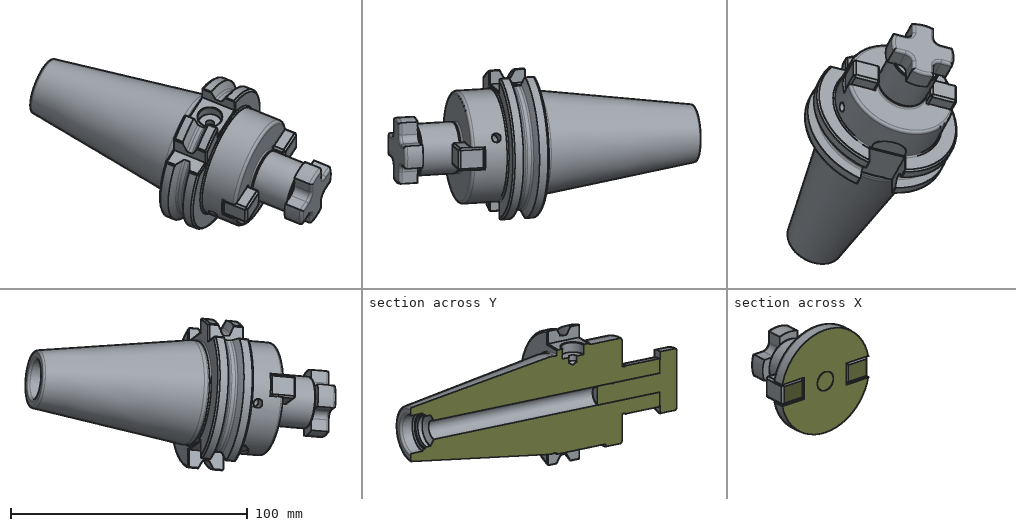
import cadquery as cq
import math


gauge_x = 68.5
gauge_diameter = 44.5
gauge_radius = gauge_diameter / 2
taper_ratio = 7 / 24
tail_radius = gauge_radius - gauge_x * taper_ratio / 2
tail_fillet = 1.0
relief_radius = 22.0
relief_start = 70.0
relief_end = 70.8

flange_start = 71.6
flange_end = 87.5
flange_diameter = 63.4
flange_radius = flange_diameter / 2
flange_chamfer = 0.8
flange_root_fillet = 0.7
groove_x = 79.5
groove_depth = 3.7
groove_half_width = 3.5
groove_half_angle = 30
groove_floor_half = groove_half_width - groove_depth * math.tan(math.radians(groove_half_angle))
groove_fillet = 1.0

slot_width = 15.8
rim_edge_chamfer = 0.4
upper_slot_floor = 24.6
lower_slot_floor = 22.8
notch_offset = 18.5
notch_edge_chamfer = 0.7

pocket_diameter = 10.2
pocket_depth = 4.5
pocket_chamfer = 0.3
pocket_drill_diameter = 3.7
pocket_drill_depth = 2.6
drill_tip_angle = 118

collar_radius = 24.0
collar_end = 103.7
collar_fillet = 1.3
spigot_diameter = 22.0
spigot_radius = spigot_diameter / 2
spigot_end = 122.2
spigot_chamfer = 0.5
undercut_radius = 10.7
undercut_length = 1.7
undercut_ramp = 0.7
undercut_fillet = 0.5

radial_hole_x = 92.5
radial_hole_diameter = 3.9
radial_hole_depth = 5.6
radial_hole_angle = 20.5

bore_radius = 8.5
bore_mouth_fillet = 1.0
bore_depth = 5.9
lead_cone_length = 0.7
lead_length = 0.5
thread_radius = 6.9
thread_lead_radius = 7.5
thread_depth = 9.8
screw_hole_radius = 4.2

key_start = 97.5
key_end = 109.1
key_inner = 11.5
key_outer = 23.3
key_width = 9.8
key_chamfer = 0.9

screw_end = 130.4
screw_tip = 91.3
screw_tip_chamfer = 0.4
head_radius = 14.1
arm_width = 9.8
arm_root_radius = 3.1
head_edge_fillet = 1.3

full_turn = 360
half_turn = 180
quarter_turn = 90
chamfer_angle = 45
far = 2 * flange_radius
match_tolerance = 0.01


def turned(points):
    """Solid of revolution about X from (x, radius) points."""
    profile = cq.Workplane("XZ").polyline(points).close()
    return profile.revolve(full_turn, (0, 0, 0), (1, 0, 0))


def about_axis(body, angle):
    return body.rotate((0, 0, 0), (1, 0, 0), angle)


def drilled(diameter, depth):
    """Drill-shaped cutter going down from the origin, with a conical tip past its depth."""
    radius = diameter / 2
    tip = radius / math.tan(math.radians(drill_tip_angle / 2))
    profile = cq.Workplane("XZ").polyline([(0, 0), (radius, 0), (radius, -depth), (0, -depth - tip)])
    return profile.close().revolve(full_turn, (0, 0, 0), (0, 1, 0))


def edges_on_circle(body, x, radius):
    """Circular edges about the X axis with the given position and radius."""
    rims = [
        edge
        for edge in body.edges("%CIRCLE").vals()
        if abs(edge.arcCenter().x - x) < match_tolerance and abs(edge.radius() - radius) < match_tolerance
    ]
    return body.newObject(rims)


def arbor_blank():
    """Taper, flange, collar and spigot as one turned shape."""
    ramp_start = collar_end + undercut_length - undercut_ramp
    blank = turned([
        (0, 0),
        (0, tail_radius),
        (gauge_x, gauge_radius),
        (relief_start, gauge_radius),
        (relief_end, relief_radius),
        (flange_start, relief_radius),
        (flange_start, flange_radius - flange_chamfer),
        (flange_start + flange_chamfer, flange_radius),
        (groove_x - groove_half_width, flange_radius),
        (groove_x - groove_floor_half, flange_radius - groove_depth),
        (groove_x + groove_floor_half, flange_radius - groove_depth),
        (groove_x + groove_half_width, flange_radius),
        (flange_end - flange_chamfer, flange_radius),
        (flange_end, flange_radius - flange_chamfer),
        (flange_end, collar_radius),
        (collar_end, collar_radius),
        (collar_end, undercut_radius),
        (ramp_start, undercut_radius),
        (collar_end + undercut_length, spigot_radius),
        (spigot_end - spigot_chamfer, spigot_radius),
        (spigot_end, spigot_radius - spigot_chamfer),
        (spigot_end, 0),
    ])
    blank = edges_on_circle(blank, 0, tail_radius).fillet(tail_fillet)
    blank = edges_on_circle(blank, flange_start, relief_radius).fillet(flange_root_fillet)
    blank = edges_on_circle(blank, flange_end, collar_radius).fillet(flange_root_fillet)
    blank = edges_on_circle(blank, collar_end, collar_radius).fillet(collar_fillet)
    blank = edges_on_circle(blank, collar_end, undercut_radius).fillet(undercut_fillet)
    for side in (-1, 1):
        corner_x = groove_x + side * groove_floor_half
        blank = edges_on_circle(blank, corner_x, flange_radius - groove_depth).fillet(groove_fillet)
    return blank


def bore_cutter():
    """Stepped bore from the small end, and the screw hole through to the spigot face."""
    lead_start = bore_depth + lead_cone_length
    thread_start = lead_start + lead_length + thread_lead_radius - thread_radius
    cone = (thread_radius - screw_hole_radius) / math.tan(math.radians(drill_tip_angle / 2))
    return turned([
        (0, 0),
        (0, bore_radius),
        (bore_depth, bore_radius),
        (lead_start, thread_lead_radius),
        (lead_start + lead_length, thread_lead_radius),
        (thread_start, thread_radius),
        (thread_depth, thread_radius),
        (thread_depth + cone, screw_hole_radius),
        (spigot_end, screw_hole_radius),
        (spigot_end, 0),
    ])


def rim_height(offset):
    """Distance from the axis plane to the flange rim at the given sideways offset."""
    return math.sqrt(flange_radius**2 - offset**2)


def through_flange(points):
    """Cutter with the given YZ outline, as long as the flange."""
    outline = cq.Workplane("YZ", (flange_start, 0, 0)).polyline(points).close()
    return outline.extrude(flange_end - flange_start)


def flange_face_flares(outline, chamfer):
    """Chamfer cutters that narrow from an outline on each flange face into the flange."""
    rear = outline(cq.Workplane("YZ", (flange_start, 0, 0))).extrude(chamfer, taper=chamfer_angle)
    front = outline(cq.Workplane("YZ", (flange_end, 0, 0))).extrude(-chamfer, taper=chamfer_angle)
    return rear.union(front)


def slot_cutter(floor):
    """Slot through the flange above the given height, flared at the flange edges."""
    half = slot_width / 2
    rim = rim_height(half)
    flared_half = half + rim_edge_chamfer
    wall = [
        (half, floor),
        (half, rim - rim_edge_chamfer),
        (flared_half, rim),
        (flared_half, far),
    ]
    opposite_wall = [(-y, z) for y, z in reversed(wall)]

    def face_outline(plane):
        low = floor - rim_edge_chamfer
        return plane.polyline([
            (flared_half, low),
            (flared_half, far),
            (-flared_half, far),
            (-flared_half, low),
        ]).close()

    return through_flange(wall + opposite_wall).union(flange_face_flares(face_outline, rim_edge_chamfer))


def lower_slot_runout():
    """Round end of the lower slot in the collar, ahead of the flange."""
    disc = cq.Workplane("XY", (flange_end, 0, lower_slot_floor)).circle(slot_width / 2)
    disc = disc.extrude(far - lower_slot_floor)
    ahead_of_flange = cq.Workplane("YZ", (flange_end, 0, 0)).rect(far, 2 * far).extrude(far)
    return disc.intersect(ahead_of_flange)


def notch_cutter():
    """Corner notch open towards -Y and +Z, flared at the flange edges."""
    rim = rim_height(notch_offset)
    flared_offset = notch_offset - rim_edge_chamfer
    upright_wall = [
        (-flared_offset, far),
        (-flared_offset, rim),
        (-notch_offset, rim - rim_edge_chamfer),
        (-notch_offset, notch_offset),
    ]
    level_wall = [(-z, -y) for y, z in reversed(upright_wall[:-1])]
    open_corner = [(-far, far)]

    def face_outline(plane):
        inner = notch_offset - notch_edge_chamfer
        return plane.polyline([(-inner, inner), (-far, inner), (-far, far), (-inner, far)]).close()

    cutter = through_flange(upright_wall + level_wall + open_corner)
    return cutter.union(flange_face_flares(face_outline, notch_edge_chamfer))


def chip_pocket():
    """Round pocket below the upper slot floor, with a chamfered rim and a drilled centre."""
    pocket = cq.Workplane("XY").circle(pocket_diameter / 2).extrude(-pocket_depth)
    rim = cq.Workplane("XY").circle(pocket_diameter / 2 + pocket_chamfer)
    pocket = pocket.union(rim.extrude(-pocket_chamfer, taper=chamfer_angle))
    centre_drill = drilled(pocket_drill_diameter, pocket_drill_depth)
    pocket = pocket.union(centre_drill.translate((0, 0, -pocket_depth)))
    return pocket.translate((groove_x, 0, upper_slot_floor))


def radial_hole():
    """Blind hole into the collar from the -Y side, angled below the XY plane."""
    hole_floor = collar_radius - radial_hole_depth
    hole = drilled(radial_hole_diameter, collar_radius).translate((0, 0, hole_floor + collar_radius))
    return about_axis(hole, quarter_turn + radial_hole_angle).translate((radial_hole_x, 0, 0))


def key_block(outer):
    """Block on the -Y side, from the inner key face out to the given distance from the axis."""
    block = cq.Workplane("XY", (key_start, -outer, 0))
    return block.box(key_end - key_start, outer - key_inner, key_width, centered=(False, False, True))


def make_arbor():
    """Arbor body with its bore, flange slots, notch, pocket, radial holes and key seats."""
    arbor = arbor_blank().cut(bore_cutter())
    arbor = edges_on_circle(arbor, 0, bore_radius).fillet(bore_mouth_fillet)
    arbor = arbor.cut(slot_cutter(upper_slot_floor))
    lower_slot = slot_cutter(lower_slot_floor).union(lower_slot_runout())
    arbor = arbor.cut(about_axis(lower_slot, half_turn))
    arbor = arbor.cut(notch_cutter())
    arbor = arbor.cut(chip_pocket())
    for angle in (0, half_turn):
        arbor = arbor.cut(about_axis(radial_hole(), angle))
        arbor = arbor.cut(about_axis(key_block(far), angle))
    return arbor


def make_key(angle):
    """Drive key with all edges chamfered, turned about the axis into its seat."""
    return about_axis(key_block(key_outer).edges().chamfer(key_chamfer), angle)


def head_cross():
    """Four-armed cross with rounded roots between the arms, longer than the head radius."""
    arm = cq.Workplane("YZ", (spigot_end, 0, 0)).rect(far, arm_width).extrude(screw_end - spigot_end)
    cross = arm.union(about_axis(arm, quarter_turn))
    root_zone = cq.selectors.BoxSelector((0, -arm_width, -arm_width), (screw_end, arm_width, arm_width))
    return cross.edges("|X").edges(root_zone).fillet(arm_root_radius)


def make_screw():
    """Retaining screw with a four-armed head against the spigot and a plain shank."""
    head = cq.Workplane("YZ", (spigot_end, 0, 0)).circle(head_radius).extrude(screw_end - spigot_end)
    head = head.intersect(head_cross())
    head = head.faces(">X").edges().fillet(head_edge_fillet)
    shank = cq.Workplane("YZ", (screw_tip, 0, 0)).circle(screw_hole_radius).extrude(spigot_end - screw_tip)
    shank = shank.faces("<X").edges().chamfer(screw_tip_chamfer)
    return head.union(shank)


arbor = make_arbor()
keys = [make_key(angle) for angle in (0, half_turn)]
screw = make_screw()
result = cq.Compound.makeCompound([arbor.val(), *[key.val() for key in keys], screw.val()])